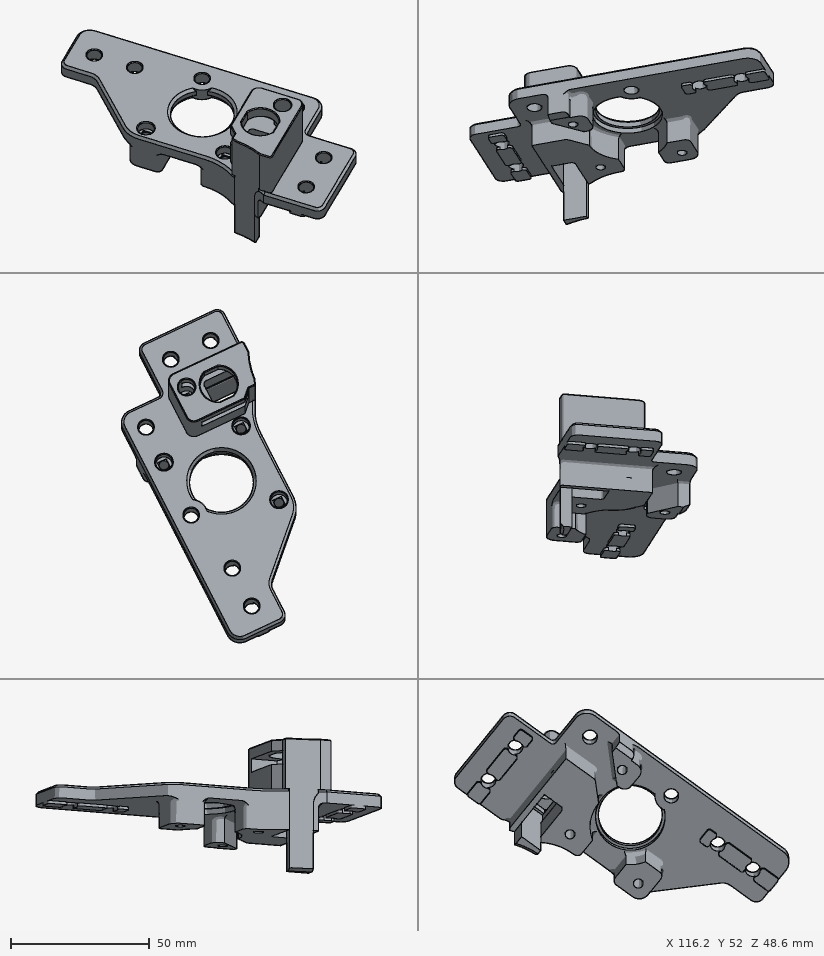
import cadquery as cq


PLATE_LENGTH = 116.2
PLATE_DEPTH = 52.0
PLATE_THICKNESS = 5.0
ARM_FRONT = 30.2
MOTOR_FRONT = 8.1
DIAGONAL_START_X = 14.3
DIAGONAL_END_X = DIAGONAL_START_X + ARM_FRONT - MOTOR_FRONT
WING_LEFT = 95.6
WING_BACK = 33.9
SCALLOP_START_X = 66.9
SCALLOP_MIDDLE = (73.2, 7.2)
SCALLOP_END = (79.0, 4.4)
FACET_END = (81.0, 3.6)
BULGE_MIDDLE = (87.8, 2.3)
BULGE_END = (93.4, 0.0)
BACK_RADIUS = 5.0
FRONT_RADIUS = 3.0
ARM_BEND_RADIUS = 5.0
MOTOR_BEND_RADIUS = 10.0
WING_INNER_RADIUS = 1.5
EDGE_CHAMFER = 0.9
MARGIN = 5.8
CORNER_REACH = 0.06

BORE_CENTER = (56.9, 28.9)
BORE_DIAMETER = 23.0
BORE_CHAMFER = 1.0
PILOT_DIAMETER = 25.1
PILOT_DEPTH = 2.0
SCREW_PITCH = 31.0
SCREW_LEFT = BORE_CENTER[0] - SCREW_PITCH / 2
SCREW_RIGHT = BORE_CENTER[0] + SCREW_PITCH / 2
SCREW_FRONT = BORE_CENTER[1] - SCREW_PITCH / 2
SCREW_BACK = BORE_CENTER[1] + SCREW_PITCH / 2
MOTOR_SCREWS = [(SCREW_LEFT, SCREW_FRONT), (SCREW_RIGHT, SCREW_FRONT), (SCREW_RIGHT, SCREW_BACK)]
SCREW_DIAMETER = 3.5
HEAD_DIAMETER = 6.0
HOLE_CHAMFER = 0.3
MOTOR_HEAD_DEPTH = 3.5
SQUARE_STEP_DEPTH = 0.5

ARM_HOLE_Y = 40.0
ARM_HOLES_X = (9.8, 25.7)
WING_HOLE_X = 106.2
WING_HOLES_Y = (9.1, 25.1)
BACK_HOLE_LEFT_X = 50.2
BACK_HOLE_RIGHT_X = 87.1
FRAME_HOLES = (
    [(x, ARM_HOLE_Y) for x in ARM_HOLES_X]
    + [(WING_HOLE_X, y) for y in WING_HOLES_Y]
    + [(BACK_HOLE_LEFT_X, SCREW_BACK), (BACK_HOLE_RIGHT_X, SCREW_BACK)]
)
FRAME_HOLE_DIAMETER = 5.3
BORE_LAND_RADIUS = 5.9

KEY_WIDTH = 6.0
KEY_HEIGHT = 1.0
KEY_CORNER = 1.0
KEY_GAP = 4.4
KEY_RUN_LENGTH = 32.0

LEG_HEIGHT = 10.1
LEG_FLARE = 2.0
LEG_CORNER = 2.0
BACK_LEG_CORNER = 3.0
LEG_BORE_RADIUS = 14.5
LEG_1_LEFT = 36.0
LEG_1_RIGHT = 49.4
LEG_1_BACK = 21.6
LEG_1_FRONT_CORNER = 4.0
LEG_2_LEFT = 64.6
LEG_2_RIGHT = 91.2
LEG_2_RIGHT_FRONT = 1.7
LEG_2_BACK = 35.5
LEG_2_DIAGONAL = 42.4
LEG_2_SHOULDER = 25.5
LEG_3_LEFT = 66.1
LEG_3_FRONT = 38.5
LEG_3_STEP_Y = 49.3
LEG_3_STEP_X = 72.0
LEG_3_DIAGONAL = 31.8
LEG_3_RIGHT = 79.5
LEG_3_BOTTOM_CHAMFER = (1.2, 2.3)

TOWER_LEFT = 76.0
TOWER_RIGHT = 96.0
TOWER_BACK = 32.2
TOWER_FRONT = 1.0
TOWER_TOP = 23.5
TOWER_NECK_X = SCALLOP_END[0]
TOWER_NECK_Y = 7.1
TOWER_BACK_RADIUS = 3.0
TOWER_FRONT_RADIUS = 1.0
TOWER_CHAMFER = 0.3

BLADE_LEFT = 80.3
BLADE_RIGHT = 89.0
BLADE_BOTTOM = -25.1
BLADE_BACK = 6.3
BLADE_CHAMFER = 1.0
THROAT_RIGHT = 90.7
THROAT_ARC_MIDDLE = (89.5, 1.9)
THROAT_ARC_START_Z = -0.5
THROAT_ARC_END_Z = 3.7
PASSAGE_LEFT = 79.6
PASSAGE_BACK = 19.9
PASSAGE_CORNER = 1.5

OPENING_CENTER = (85.2, 16.1)
OPENING_DIAMETER = 13.5
OPENING_WIDTH = 12.3
SLOT_FLOOR = 14.4
SLOT_CEILING = 19.3
SLOT_RADIUS = 9.1
SLOT_RIGHT = 95.3
SLOT_BACK = 27.4
TOWER_SCREW = (89.2, 27.1)
TOWER_HEAD_SEAT = 8.7
TOWER_SCREW_END = -5.0


def cylinder(center, diameter, bottom, top):
    base = cq.Workplane("XY").workplane(offset=bottom).center(*center)
    return base.circle(diameter / 2).extrude(top - bottom)


def box(x_range, y_range, z_range):
    (x0, x1), (y0, y1), (z0, z1) = x_range, y_range, z_range
    return cq.Workplane("XY").box(x1 - x0, y1 - y0, z1 - z0, centered=False).translate((x0, y0, z0))


def prism(points, bottom, top):
    return cq.Workplane("XY").workplane(offset=bottom).polyline(points).close().extrude(top - bottom)


def round_upright_edge(body, x, y, radius):
    """Fillet the upright edge of the body at the corner (x, y)."""
    corner = cq.selectors.BoxSelector(
        (x - CORNER_REACH, y - CORNER_REACH, BLADE_BOTTOM), (x + CORNER_REACH, y + CORNER_REACH, TOWER_TOP)
    )
    return body.edges("|Z").edges(corner).fillet(radius)


def flare_top(cutter, size):
    """Widen the top of a cutting shape by a 45 degree flare, to leave a chamfered rim."""
    rim = cutter.faces(">Z").wires().toPending().offset2D(size)
    return cutter.union(rim.extrude(-size, combine=False, taper=45))


def footprint(bottom, top):
    """Prism over the plate outline; the tower and blade share its scalloped front."""
    body = (
        cq.Workplane("XY")
        .workplane(offset=bottom)
        .moveTo(0, ARM_FRONT)
        .lineTo(DIAGONAL_START_X, ARM_FRONT)
        .lineTo(DIAGONAL_END_X, MOTOR_FRONT)
        .lineTo(SCALLOP_START_X, MOTOR_FRONT)
        .threePointArc(SCALLOP_MIDDLE, SCALLOP_END)
        .lineTo(*FACET_END)
        .threePointArc(BULGE_MIDDLE, BULGE_END)
        .lineTo(PLATE_LENGTH, 0)
        .lineTo(PLATE_LENGTH, WING_BACK)
        .lineTo(WING_LEFT, WING_BACK)
        .lineTo(WING_LEFT, PLATE_DEPTH)
        .lineTo(0, PLATE_DEPTH)
        .close()
        .extrude(top - bottom)
    )
    corners = [
        (0, ARM_FRONT, FRONT_RADIUS),
        (DIAGONAL_START_X, ARM_FRONT, ARM_BEND_RADIUS),
        (DIAGONAL_END_X, MOTOR_FRONT, MOTOR_BEND_RADIUS),
        (PLATE_LENGTH, 0, FRONT_RADIUS),
        (PLATE_LENGTH, WING_BACK, FRONT_RADIUS),
        (WING_LEFT, WING_BACK, WING_INNER_RADIUS),
        (WING_LEFT, PLATE_DEPTH, BACK_RADIUS),
        (0, PLATE_DEPTH, BACK_RADIUS),
    ]
    for x, y, radius in corners:
        body = round_upright_edge(body, x, y, radius)
    return body


def legs():
    """Three motor standoffs with flared roots, trimmed to the plate outline."""
    bottom = -LEG_HEIGHT
    leg_1 = box((LEG_1_LEFT, LEG_1_RIGHT), (MOTOR_FRONT, LEG_1_BACK), (bottom, 0))
    for x, y, radius in [
        (LEG_1_LEFT, LEG_1_BACK, LEG_CORNER),
        (LEG_1_RIGHT, MOTOR_FRONT, LEG_CORNER),
        (LEG_1_LEFT, MOTOR_FRONT, LEG_1_FRONT_CORNER),
    ]:
        leg_1 = round_upright_edge(leg_1, x, y, radius)

    leg_2 = prism(
        [
            (LEG_2_LEFT, MOTOR_FRONT),
            (SCALLOP_START_X, MOTOR_FRONT),
            (SCALLOP_START_X + MARGIN, -MARGIN),
            (FACET_END[0], -MARGIN),
            (LEG_2_RIGHT, LEG_2_RIGHT_FRONT),
            (LEG_2_RIGHT, LEG_2_BACK),
            (LEG_2_BACK + LEG_2_DIAGONAL, LEG_2_BACK),
            (LEG_2_SHOULDER + LEG_2_DIAGONAL, LEG_2_SHOULDER),
            (LEG_2_LEFT, LEG_2_SHOULDER),
        ],
        bottom,
        0,
    )
    for x, y in [
        (LEG_2_BACK + LEG_2_DIAGONAL, LEG_2_BACK),
        (LEG_2_LEFT, MOTOR_FRONT),
        (LEG_2_RIGHT, LEG_2_RIGHT_FRONT),
    ]:
        leg_2 = round_upright_edge(leg_2, x, y, LEG_CORNER)

    leg_3 = prism(
        [
            (LEG_3_LEFT, LEG_3_FRONT),
            (LEG_3_FRONT + LEG_3_DIAGONAL, LEG_3_FRONT),
            (LEG_3_RIGHT, LEG_3_RIGHT - LEG_3_DIAGONAL),
            (LEG_3_RIGHT, PLATE_DEPTH),
            (LEG_3_STEP_X, PLATE_DEPTH),
            (LEG_3_STEP_X, LEG_3_STEP_Y),
            (LEG_3_LEFT, LEG_3_STEP_Y),
        ],
        bottom,
        0,
    )
    leg_3 = leg_3.edges("<Z and >Y").chamfer(*LEG_3_BOTTOM_CHAMFER)
    leg_3 = round_upright_edge(leg_3, LEG_3_STEP_X, PLATE_DEPTH, LEG_CORNER)
    for y in (LEG_3_FRONT, LEG_3_STEP_Y):
        leg_3 = round_upright_edge(leg_3, LEG_3_LEFT, y, BACK_LEG_CORNER)

    bore_clearance = cylinder(BORE_CENTER, 2 * LEG_BORE_RADIUS, bottom, 0)
    blank = box(
        (-MARGIN, PLATE_LENGTH + MARGIN),
        (-3 * MARGIN, PLATE_DEPTH + MARGIN),
        (0, PLATE_THICKNESS),
    )
    for leg in (leg_1.cut(bore_clearance), leg_2.cut(bore_clearance), leg_3):
        blank = blank.union(leg)
    roots = cq.selectors.BoxSelector(
        (0, -2 * MARGIN, -LEG_FLARE / 2), (PLATE_LENGTH, PLATE_DEPTH + MARGIN / 2, LEG_FLARE / 2)
    )
    blank = blank.edges(roots).fillet(LEG_FLARE)
    return blank.intersect(footprint(bottom, 0))


def key_runs():
    """Keys along the left arm and across the right wing, interrupted at the frame holes."""

    def key(start, end):
        return (
            cq.Workplane("XY")
            .box(end - start, KEY_WIDTH, KEY_HEIGHT, centered=(False, True, False))
            .edges("|Z")
            .fillet(KEY_CORNER)
            .translate((start, 0, -KEY_HEIGHT))
        )

    def run(first_hole, second_hole):
        half_gap = KEY_GAP / 2
        starts = (0, first_hole + half_gap, second_hole + half_gap)
        ends = (first_hole - half_gap, second_hole - half_gap, KEY_RUN_LENGTH)
        return [key(start, end) for start, end in zip(starts, ends)]

    arm_keys = [item.translate((0, ARM_HOLE_Y, 0)) for item in run(*ARM_HOLES_X)]
    wing_keys = [
        item.rotate((0, 0, 0), (0, 0, 1), 90).translate((WING_HOLE_X, 0, 0)) for item in run(*WING_HOLES_Y)
    ]
    return arm_keys + wing_keys


def frame_hole(center):
    """Through hole with a small countersink at the top face."""
    hole = cylinder(center, FRAME_HOLE_DIAMETER, -LEG_HEIGHT - MARGIN, PLATE_THICKNESS)
    return flare_top(hole, HOLE_CHAMFER)


def screw_hole(center, top, seat, end):
    """Head recess from top down to the seat, a square step, and the shank hole down to end."""
    x, y = center
    half = SCREW_DIAMETER / 2
    step = box((x - half, x + half), (y - half, y + half), (seat - SQUARE_STEP_DEPTH, seat))
    head = cylinder(center, HEAD_DIAMETER, seat, top)
    return flare_top(head, HOLE_CHAMFER).union(step).union(cylinder(center, SCREW_DIAMETER, end, seat))


def motor_bore():
    """Chamfered bore over the pilot recess, less the land around the back left frame hole."""
    bore = cylinder(BORE_CENTER, BORE_DIAMETER, -MARGIN, PLATE_THICKNESS)
    pilot = cylinder(BORE_CENTER, PILOT_DIAMETER, -LEG_HEIGHT, PILOT_DEPTH)
    land = cylinder((BACK_HOLE_LEFT_X, SCREW_BACK), 2 * BORE_LAND_RADIUS, -MARGIN, PLATE_THICKNESS)
    return flare_top(bore, BORE_CHAMFER).union(pilot).cut(land)


def throat(bottom, back):
    """Blade-wide shaft that curves wider on its right side, up to the plate's top face."""
    return (
        cq.Workplane("XZ", origin=(0, back, 0))
        .moveTo(BLADE_LEFT, bottom)
        .lineTo(BLADE_RIGHT, bottom)
        .lineTo(BLADE_RIGHT, THROAT_ARC_START_Z)
        .threePointArc(THROAT_ARC_MIDDLE, (THROAT_RIGHT, THROAT_ARC_END_Z))
        .lineTo(THROAT_RIGHT, PLATE_THICKNESS)
        .lineTo(BLADE_LEFT, PLATE_THICKNESS)
        .close()
        .extrude(back + MARGIN)
    )


def build_plate():
    plate = footprint(0, PLATE_THICKNESS).faces(">Z").chamfer(EDGE_CHAMFER)
    plate = plate.union(legs())
    for key in key_runs():
        plate = plate.union(key)
    plate = plate.cut(motor_bore())
    for center in FRAME_HOLES:
        plate = plate.cut(frame_hole(center))
    seat = PLATE_THICKNESS - MOTOR_HEAD_DEPTH
    for center in MOTOR_SCREWS:
        plate = plate.cut(screw_hole(center, PLATE_THICKNESS, seat, -LEG_HEIGHT))
    plate = plate.cut(cylinder(TOWER_SCREW, SCREW_DIAMETER, TOWER_SCREW_END, PLATE_THICKNESS))
    shaft = round_upright_edge(throat(-LEG_HEIGHT, PASSAGE_BACK), BLADE_LEFT, PASSAGE_BACK, PASSAGE_CORNER)
    return plate.cut(shaft)


def tower_block():
    """Tower above the plate, flush with the scalloped front, without its openings."""
    block = prism(
        [
            (TOWER_LEFT, TOWER_BACK),
            (TOWER_RIGHT, TOWER_BACK),
            (TOWER_RIGHT, TOWER_FRONT),
            (TOWER_NECK_X, TOWER_FRONT),
            (TOWER_NECK_X, TOWER_NECK_Y),
            (TOWER_LEFT, TOWER_NECK_Y + TOWER_NECK_X - TOWER_LEFT),
        ],
        PLATE_THICKNESS,
        TOWER_TOP,
    )
    block = round_upright_edge(block, TOWER_LEFT, TOWER_BACK, TOWER_BACK_RADIUS)
    block = round_upright_edge(block, TOWER_RIGHT, TOWER_BACK, TOWER_BACK_RADIUS)
    block = round_upright_edge(block, TOWER_RIGHT, TOWER_FRONT, TOWER_FRONT_RADIUS)
    block = block.intersect(footprint(PLATE_THICKNESS, TOWER_TOP))
    return block.faces(">Z").chamfer(TOWER_CHAMFER)


def blade():
    """Blade that fills the front of the plate's shaft and carries on below the legs."""
    body = throat(BLADE_BOTTOM, BLADE_BACK).intersect(footprint(BLADE_BOTTOM, PLATE_THICKNESS))
    return body.faces("<Z").edges("<Y").chamfer(BLADE_CHAMFER)


def side_slot():
    """Slot open to the left, with a large round at its front right corner."""
    slot_front = OPENING_CENTER[1] - SLOT_RADIUS
    slot = box((TOWER_LEFT - MARGIN, SLOT_RIGHT), (slot_front, SLOT_BACK), (SLOT_FLOOR, SLOT_CEILING))
    return round_upright_edge(slot, SLOT_RIGHT, slot_front, SLOT_RADIUS)


def round_opening():
    """Opening in the tower's top, flattened on its left and right sides."""
    x, y = OPENING_CENTER
    half = OPENING_WIDTH / 2
    flats = box((x - half, x + half), (0, PLATE_DEPTH), (SLOT_FLOOR, TOWER_TOP))
    opening = cylinder(OPENING_CENTER, OPENING_DIAMETER, SLOT_FLOOR, TOWER_TOP).intersect(flats)
    return flare_top(opening, HOLE_CHAMFER)


def build_tower():
    tower = tower_block().union(blade())
    passage = box((PASSAGE_LEFT, THROAT_RIGHT), (BLADE_BACK, PASSAGE_BACK), (PLATE_THICKNESS, SLOT_FLOOR))
    for x in (PASSAGE_LEFT, THROAT_RIGHT):
        passage = round_upright_edge(passage, x, PASSAGE_BACK, PASSAGE_CORNER)
    tower = tower.cut(passage).cut(side_slot()).cut(round_opening())
    return tower.cut(screw_hole(TOWER_SCREW, TOWER_TOP, TOWER_HEAD_SEAT, PLATE_THICKNESS))


plate = build_plate()
tower = build_tower()
result = cq.Compound.makeCompound([plate.val(), tower.val()])